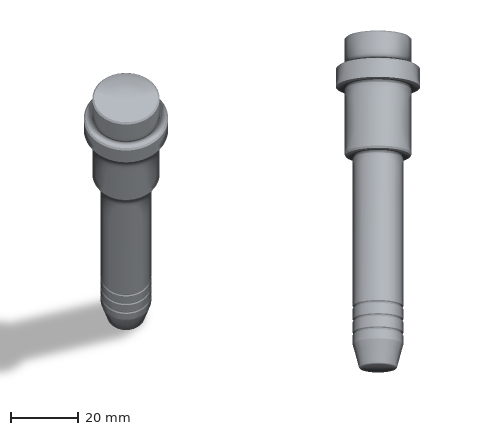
import cadquery as cq
import math

length = 101.0
collar_radius = 25.0 / 2
body_radius = 20.0 / 2
shank_radius = 15.0 / 2

head_height = 9.0
collar_height = 6.0
body_height = 21.0
collar_top = length - head_height
collar_bottom = collar_top - collar_height
body_bottom = collar_bottom - body_height

head_chamfer = 0.5
collar_chamfer = 0.5
body_chamfer_height = 0.6
body_chamfer_depth = 0.3

groove_width = 0.9
groove_depth = 0.3
groove_slope = 0.3
oil_groove_count = 3
oil_groove_pitch = 4.0
lowest_oil_groove = 10.0

taper_height = 7.3
taper_angle = 15.0
tip_fillet = 0.5
tip_radius = shank_radius - taper_height * math.tan(math.radians(taper_angle))


def cylinder(radius, bottom, top):
    return cq.Workplane("XY").workplane(offset=bottom).circle(radius).extrude(top - bottom)


def ring_groove(radius, bottom, lower_slope=0.0, upper_slope=0.0):
    """Ring to cut from a cylinder; each slope is the height of a slanted groove wall."""
    top = bottom + groove_width
    floor_radius = radius - groove_depth
    outside_radius = radius + groove_depth
    section = [
        (outside_radius, bottom),
        (radius, bottom),
        (floor_radius, bottom + lower_slope),
        (floor_radius, top - upper_slope),
        (radius, top),
        (outside_radius, top),
    ]
    return cq.Workplane("XZ").polyline(section).close().revolve(360, (0, 0, 0), (0, 1, 0))


def make_shank():
    section = [
        (0, 0),
        (tip_radius, 0),
        (shank_radius, taper_height),
        (shank_radius, body_bottom),
        (0, body_bottom),
    ]
    shank = cq.Workplane("XZ").polyline(section).close().revolve(360, (0, 0, 0), (0, 1, 0))
    shank = shank.faces("<Z").edges().fillet(tip_fillet)
    for index in range(oil_groove_count):
        bottom = lowest_oil_groove + index * oil_groove_pitch
        shank = shank.cut(ring_groove(shank_radius, bottom, groove_slope, groove_slope))
    return shank.cut(ring_groove(shank_radius, body_bottom - groove_width, lower_slope=groove_slope))


def make_body():
    body = cylinder(body_radius, body_bottom, collar_bottom)
    body = body.faces("<Z").chamfer(body_chamfer_height, body_chamfer_depth)
    return body.cut(ring_groove(body_radius, collar_bottom - groove_width, lower_slope=groove_slope))


def make_collar():
    collar = cylinder(collar_radius, collar_bottom, collar_top)
    return collar.faces(">Z").chamfer(collar_chamfer)


def make_head():
    head = cylinder(body_radius, collar_top, length).faces(">Z").chamfer(head_chamfer)
    return head.cut(ring_groove(body_radius, collar_top, upper_slope=groove_slope))


result = make_shank().union(make_body()).union(make_collar()).union(make_head())